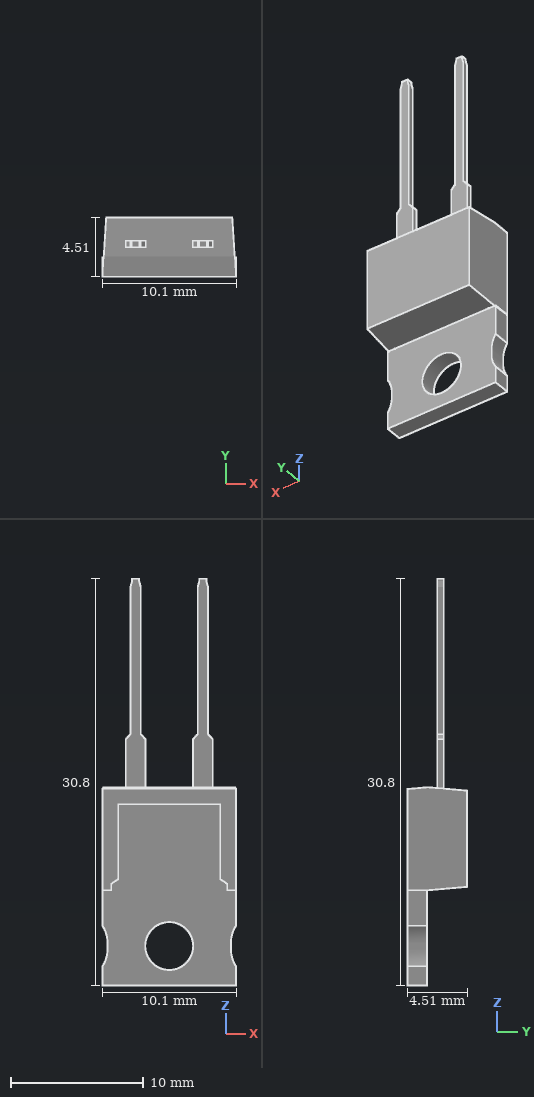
import cadquery as cq
import math


package_width = 10.1
package_depth = 4.51
overall_height = 30.75

tab_thickness = 1.5
hole_diameter = 3.6
hole_height = 3.0
notch_depth = 0.38
notch_flat_length = 0.53
notch_length = 3.06
head_width = 7.68
head_top = 13.7
shoulder_width = 8.75
shoulder_bottom = 7.7
shoulder_top = 8.05

parting_depth = 1.55
housing_bottom = 7.2
housing_top = 15.0
draft_angle = 5.0
side_taper = 0.28

lead_pitch = 5.08
lead_thickness = 0.5
lead_rear = 2.75
lead_base_width = 1.5
lead_width = 0.8
lead_tip_width = 0.55
lead_step_bottom = 18.62
lead_step_top = 19.0
lead_tip_length = 0.2
lead_taper_length = 0.45
lead_embedding = 1.5

draft_slope = math.tan(math.radians(draft_angle))


def extrude_back(sketch, depth):
    """Extrude a closed XZ outline from its plane towards +Y."""
    return sketch.extrude(-depth)


def make_tab():
    """Tab with a stepped head, a round mounting hole and a shallow notch in each side."""
    half = package_width / 2
    waist = half - notch_depth
    notch_start = hole_height - notch_length / 2
    notch_end = hole_height + notch_length / 2
    flat_start = hole_height - notch_flat_length / 2
    flat_end = hole_height + notch_flat_length / 2

    arc_rise = (notch_length - notch_flat_length) / 2
    arc_radius = (arc_rise**2 + notch_depth**2) / (2 * notch_depth)

    outline = (
        cq.Workplane("XZ")
        .moveTo(0, 0)
        .lineTo(half, 0)
        .lineTo(half, notch_start)
        .radiusArc((waist, flat_start), arc_radius)
        .lineTo(waist, flat_end)
        .radiusArc((half, notch_end), arc_radius)
        .lineTo(half, housing_bottom)
        .lineTo(shoulder_width / 2, housing_bottom)
        .lineTo(shoulder_width / 2, shoulder_bottom)
        .lineTo(head_width / 2, shoulder_top)
        .lineTo(head_width / 2, head_top)
        .lineTo(0, head_top)
        .mirrorY()
    )
    hole = cq.Workplane("XZ").center(0, hole_height).circle(hole_diameter / 2)
    return extrude_back(outline, tab_thickness).cut(extrude_back(hole, tab_thickness))


def make_lead(center_x):
    """Flat lead with a wide base, a narrow shank and a taper to a narrower tip."""
    foot = housing_top - lead_embedding
    tip_bottom = overall_height - lead_tip_length
    outline = (
        cq.Workplane("XZ", origin=(center_x, lead_rear - lead_thickness, 0))
        .moveTo(0, foot)
        .lineTo(lead_base_width / 2, foot)
        .lineTo(lead_base_width / 2, lead_step_bottom)
        .lineTo(lead_width / 2, lead_step_top)
        .lineTo(lead_width / 2, tip_bottom - lead_taper_length)
        .lineTo(lead_tip_width / 2, tip_bottom)
        .lineTo(lead_tip_width / 2, overall_height)
        .lineTo(0, overall_height)
        .mirrorY()
    )
    return extrude_back(outline, lead_thickness)


def make_housing(inserts):
    """Drafted block, moulded around the tab head and the lead bases."""
    rear_drop = (package_depth - parting_depth) * draft_slope
    front_drop = parting_depth * draft_slope
    side_profile = (
        cq.Workplane("YZ")
        .moveTo(0, housing_bottom)
        .lineTo(parting_depth, housing_bottom)
        .lineTo(package_depth, housing_bottom + rear_drop)
        .lineTo(package_depth, housing_top - rear_drop)
        .lineTo(parting_depth, housing_top)
        .lineTo(0, housing_top - front_drop)
        .close()
        .extrude(package_width / 2, both=True)
    )

    rear_half = package_width / 2 - side_taper
    plan = (
        cq.Workplane("XY")
        .polyline(
            [
                (-package_width / 2, 0),
                (package_width / 2, 0),
                (rear_half, package_depth),
                (-rear_half, package_depth),
            ]
        )
        .close()
        .extrude(housing_top)
    )
    block = side_profile.intersect(plan)
    for insert in inserts:
        block = block.cut(insert)
    return block


tab = make_tab()
leads = [make_lead(side * lead_pitch / 2) for side in (-1, 1)]
housing = make_housing([tab, *leads])

result = cq.Compound.makeCompound([housing.val(), tab.val(), *[lead.val() for lead in leads]])